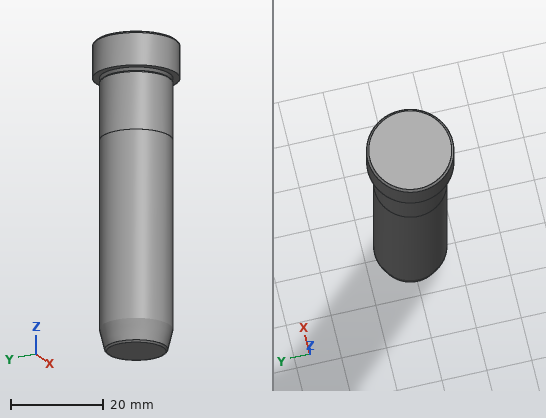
import cadquery as cq

total_length = 70.0
head_diameter = 19.0
shank_diameter = 15.95

head_height = 7.85
head_chamfer = 0.5

undercut_depth = 0.5
undercut_apex_rise = 0.4
undercut_height = 1.05

joint_z = 48.0

lead_in_height = 5.0
lead_in_end_diameter = 13.7
tip_chamfer = 0.4

head_radius = head_diameter / 2
shank_radius = shank_diameter / 2
lead_in_end_radius = lead_in_end_diameter / 2
head_bottom_z = total_length - head_height
undercut_bottom_z = head_bottom_z - undercut_height
undercut_apex_z = undercut_bottom_z + undercut_apex_rise


def revolve_profile(points):
    """Revolve a closed (radius, height) outline about the Z axis."""
    return (
        cq.Workplane("XZ")
        .polyline(points)
        .close()
        .revolve(360, (0, 0), (0, 1))
    )


def make_headed_collar():
    """Chamfered head, undercut and upper shank down to the joint."""
    return revolve_profile([
        (0, joint_z),
        (shank_radius, joint_z),
        (shank_radius, undercut_bottom_z),
        (shank_radius - undercut_depth, undercut_apex_z),
        (shank_radius, head_bottom_z),
        (head_radius, head_bottom_z),
        (head_radius, total_length - head_chamfer),
        (head_radius - head_chamfer, total_length),
        (0, total_length),
    ])


def make_guide_shank():
    """Lower shank with its tapered lead-in and chamfered tip."""
    return revolve_profile([
        (0, 0),
        (lead_in_end_radius - tip_chamfer, 0),
        (lead_in_end_radius, tip_chamfer),
        (shank_radius, lead_in_height),
        (shank_radius, joint_z),
        (0, joint_z),
    ])


headed_collar = make_headed_collar()
guide_shank = make_guide_shank()

result = cq.Compound.makeCompound([headed_collar.val(), guide_shank.val()])